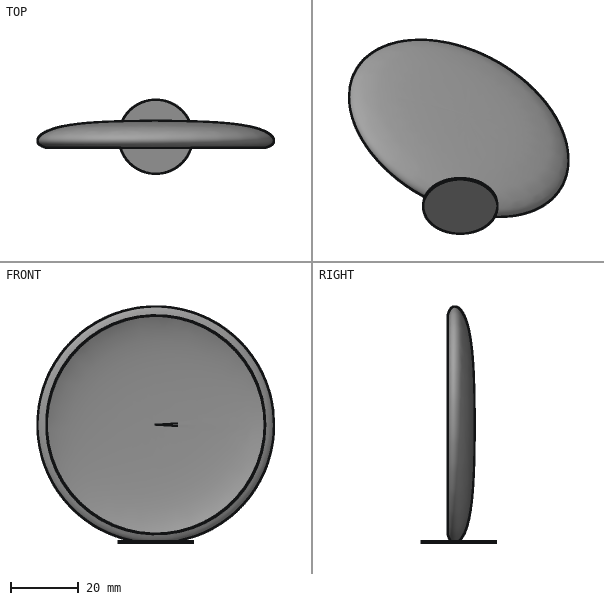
import cadquery as cq

base_diameter = 22.0
base_thickness = 0.7

dish_diameter = 70.0
dish_radius = dish_diameter / 2
wall_thickness = 0.85
back_y = 4.75
mouth_radius = 32.4
mouth_y = -3.3

dome_control = (30.3, back_y)
shoulder_control = (33.26, 2.76)
edge_control = (38.61, -1.62)
outer_controls = [(0, back_y), dome_control, shoulder_control, edge_control, (mouth_radius, mouth_y)]

offset_steps = 24


def make_inner_curve(outer_curve):
    """Curve one wall thickness inside the outer curve, from the apex to the mouth."""
    points = []
    for step in range(offset_steps + 1):
        position = outer_curve.positionAt(step / offset_steps)
        tangent = outer_curve.tangentAt(step / offset_steps)
        inward = cq.Vector(tangent.y, -tangent.x)
        points.append(position + inward * wall_thickness)
    tangents = [outer_curve.tangentAt(0), outer_curve.tangentAt(1)]
    return cq.Edge.makeSpline(points, tangents=tangents)


def make_dish():
    """Revolve the half section of the shell, which is open at the mouth."""
    outer_curve = cq.Edge.makeBezier([cq.Vector(*point) for point in outer_controls])
    inner_curve = make_inner_curve(outer_curve)
    lip = cq.Edge.makeLine(outer_curve.endPoint(), inner_curve.endPoint())
    axis_side = cq.Edge.makeLine(inner_curve.startPoint(), outer_curve.startPoint())
    outline = cq.Wire.assembleEdges([outer_curve, lip, inner_curve, axis_side])
    section = cq.Face.makeFromWires(outline)
    dish = cq.Solid.revolve(section, 360, cq.Vector(0, 0, 0), cq.Vector(0, 1, 0))
    return dish.translate(cq.Vector(0, 0, dish_radius))


def make_base():
    """Thin round foot below the dish."""
    return cq.Workplane("XY").circle(base_diameter / 2).extrude(base_thickness)


result = make_base().union(cq.Workplane(make_dish()))